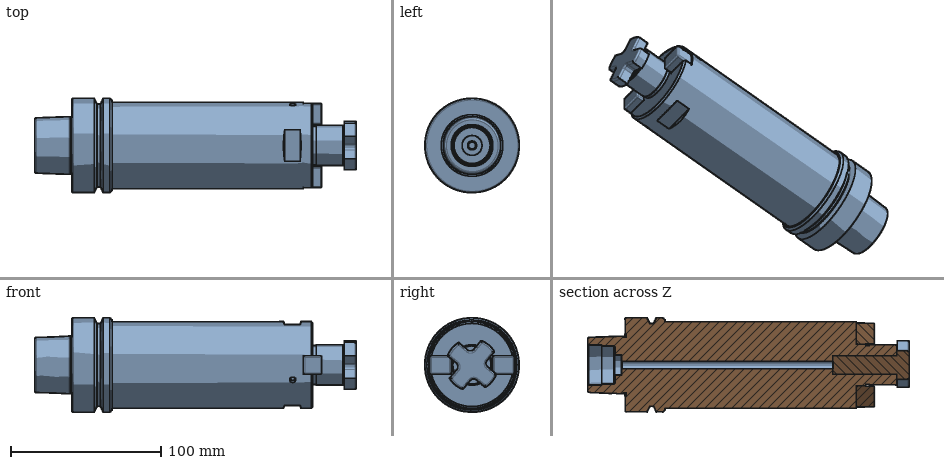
import cadquery as cq
import math

LENGTH = 214.0
MATCH_TOLERANCE = 0.002

NOSE_RADIUS = 18.5
NOSE_FILLET = 1.3
TAPER_RADIUS = 19.3
TAPER_END = 22.7
SHANK_END = 23.8
NECK_RADIUS = 18.6
UNDERCUT_RADIUS = 20.5
UNDERCUT_DEPTH = 0.9

FLANGE_RADIUS = 31.5
FLANGE_START = 24.8
FLANGE_FRONT_FILLET = 1.0
FLANGE_BACK_CHAMFER = 1.5
GROOVE_LEFT = 39.5
GROOVE_RIGHT = 45.5
GROOVE_FLOOR_LEFT = 41.5
GROOVE_FLOOR_RIGHT = 43.9
GROOVE_FLOOR_RADIUS = 27.5
GROOVE_FILLET = 0.5
FLANGE_END = 51.5

BODY_RADIUS = 28.9
BODY_END = 185.1
BODY_CHAMFER = 1.3
PILOT_RADIUS = 13.5
PILOT_RELIEF_RADIUS = 13.0
PILOT_RELIEF_WIDTH = 2.1
PILOT_END = 205.9
PILOT_CHAMFER = 0.9

BORE_RADIUS = 13.3
BORE_CHAMFER = 0.6
BORE_STEP = 9.5
INNER_BORE_RADIUS = 12.6
BORE_DEPTH = 18.2
BORE_FLOOR_RADIUS = 12.0
COUNTERBORE_RADIUS = 6.6
COUNTERBORE_DEPTH = 4.3
COOLANT_RADIUS = 2.4
COOLANT_CHAMFER = 0.6

FLAT_HEIGHT = 27.0
FLAT_LEFT = 166.3
FLAT_RIGHT = 176.5
FLAT_LEFT_SLOPE = 0.9
FLAT_RIGHT_SLOPE = 0.6

KEY_WIDTH = 12.5
KEY_START = 178.7
KEY_END = 190.9
KEY_INNER = 14.0
KEY_OUTER = 28.0
KEY_FILLET = 1.0

SET_SCREW_X = 171.6
SET_SCREW_RADIUS = 2.0
SET_SCREW_LENGTH = 6.5
SET_SCREW_RECESS = 4.5
SET_SCREW_ANGLE = 20.0
SET_SCREW_TURNS = (180.0 + SET_SCREW_ANGLE, SET_SCREW_ANGLE)

HEAD_RADIUS = 17.3
HEAD_FILLET = 1.3
LOBE_WIDTH = 11.5
LOBE_FILLET = 2.8
LOBE_ANGLE = 50.0
SCREW_RADIUS = 6.0
SCREW_LENGTH = 42.8


def revolve_about_x(points):
    """Turn an (X, radius) outline about the X axis."""
    return cq.Workplane("XY").polyline(points).close().revolve(360, (0, 0, 0), (1, 0, 0))


def round_rim(body, x, radius, fillet):
    """Round the circular edge of the given radius that is centred on the X axis at x."""
    rim = [
        edge for edge in body.edges("%CIRCLE").vals()
        if math.isclose(edge.Center().x, x, abs_tol=MATCH_TOLERANCE)
        and math.isclose(edge.radius(), radius, abs_tol=MATCH_TOLERANCE)
    ]
    return body.newObject(rim).fillet(fillet)


def cylinder_along_x(start, end, radius):
    return cq.Workplane("YZ", origin=(start, 0, 0)).circle(radius).extrude(end - start)


def radial_cylinder(turn, inner, outer, radius):
    """Cylinder on a radius at SET_SCREW_X, turned about X from the +Y direction."""
    angle = math.radians(turn)
    outward = cq.Vector(0, math.cos(angle), math.sin(angle))
    base = cq.Vector(SET_SCREW_X, 0, 0) + outward * inner
    return cq.Workplane(cq.Solid.makeCylinder(radius, outer - inner, base, outward))


def turned_outline():
    outline = revolve_about_x([
        (0, 0),
        (0, NOSE_RADIUS),
        (TAPER_END, TAPER_RADIUS),
        (SHANK_END, TAPER_RADIUS),
        (SHANK_END, NECK_RADIUS),
        (FLANGE_START + UNDERCUT_DEPTH, NECK_RADIUS),
        (FLANGE_START + UNDERCUT_DEPTH, UNDERCUT_RADIUS),
        (FLANGE_START, UNDERCUT_RADIUS),
        (FLANGE_START, FLANGE_RADIUS),
        (GROOVE_LEFT, FLANGE_RADIUS),
        (GROOVE_FLOOR_LEFT, GROOVE_FLOOR_RADIUS),
        (GROOVE_FLOOR_RIGHT, GROOVE_FLOOR_RADIUS),
        (GROOVE_RIGHT, FLANGE_RADIUS),
        (FLANGE_END - FLANGE_BACK_CHAMFER, FLANGE_RADIUS),
        (FLANGE_END, FLANGE_RADIUS - FLANGE_BACK_CHAMFER),
        (FLANGE_END, BODY_RADIUS),
        (BODY_END - BODY_CHAMFER, BODY_RADIUS),
        (BODY_END, BODY_RADIUS - BODY_CHAMFER),
        (BODY_END, PILOT_RELIEF_RADIUS),
        (BODY_END + PILOT_RELIEF_WIDTH, PILOT_RELIEF_RADIUS),
        (BODY_END + PILOT_RELIEF_WIDTH, PILOT_RADIUS),
        (PILOT_END - PILOT_CHAMFER, PILOT_RADIUS),
        (PILOT_END, PILOT_RADIUS - PILOT_CHAMFER),
        (PILOT_END, 0),
    ])
    outline = round_rim(outline, 0, NOSE_RADIUS, NOSE_FILLET)
    outline = round_rim(outline, FLANGE_START, FLANGE_RADIUS, FLANGE_FRONT_FILLET)
    for floor_edge in (GROOVE_FLOOR_LEFT, GROOVE_FLOOR_RIGHT):
        outline = round_rim(outline, floor_edge, GROOVE_FLOOR_RADIUS, GROOVE_FILLET)
    return outline


def central_bore():
    """Stepped shank bore, counterbore and coolant passage up to the clamping screw."""
    floor_chamfer = INNER_BORE_RADIUS - BORE_FLOOR_RADIUS
    counterbore_floor = BORE_DEPTH + COUNTERBORE_DEPTH
    screw_tip = PILOT_END - SCREW_LENGTH
    return revolve_about_x([
        (0, 0),
        (0, BORE_RADIUS + BORE_CHAMFER),
        (BORE_CHAMFER, BORE_RADIUS),
        (BORE_STEP, BORE_RADIUS),
        (BORE_STEP, INNER_BORE_RADIUS),
        (BORE_DEPTH - floor_chamfer, INNER_BORE_RADIUS),
        (BORE_DEPTH, BORE_FLOOR_RADIUS),
        (BORE_DEPTH, COUNTERBORE_RADIUS),
        (counterbore_floor, COUNTERBORE_RADIUS),
        (counterbore_floor, COOLANT_RADIUS + COOLANT_CHAMFER),
        (counterbore_floor + COOLANT_CHAMFER, COOLANT_RADIUS),
        (screw_tip, COOLANT_RADIUS),
        (screw_tip, 0),
    ])


def flat_cutter(side):
    """Sloped-ended block that leaves a wrench flat above (side 1) or below (side -1)."""
    rise = BODY_RADIUS - FLAT_HEIGHT
    return (
        cq.Workplane("XZ")
        .polyline([
            (FLAT_LEFT, side * FLAT_HEIGHT),
            (FLAT_RIGHT, side * FLAT_HEIGHT),
            (FLAT_RIGHT + FLAT_RIGHT_SLOPE, side * (FLAT_HEIGHT + rise)),
            (FLAT_LEFT - FLAT_LEFT_SLOPE, side * (FLAT_HEIGHT + rise)),
        ])
        .close()
        .extrude(BODY_RADIUS, both=True)
    )


def block_beside_axis(side, end, outer):
    """Key-wide block on the +Y (side 1) or -Y (side -1) side, from the key's inner corner."""
    return cq.Workplane("XY").box(end - KEY_START, outer - KEY_INNER, KEY_WIDTH).translate(
        ((KEY_START + end) / 2, side * (KEY_INNER + outer) / 2, 0)
    )


def make_housing():
    housing = turned_outline().cut(central_bore())
    housing = housing.cut(cylinder_along_x(PILOT_END - SCREW_LENGTH, PILOT_END, SCREW_RADIUS))
    for side in (-1, 1):
        housing = housing.cut(flat_cutter(side))
        housing = housing.cut(block_beside_axis(side, BODY_END, BODY_RADIUS))
    hole_floor = BODY_RADIUS - SET_SCREW_RECESS - SET_SCREW_LENGTH
    for turn in SET_SCREW_TURNS:
        housing = housing.cut(radial_cylinder(turn, hole_floor, FLANGE_RADIUS, SET_SCREW_RADIUS))
    return housing


def make_drive_key(side):
    return block_beside_axis(side, KEY_END, KEY_OUTER).edges().fillet(KEY_FILLET)


def make_set_screw(turn):
    outer = BODY_RADIUS - SET_SCREW_RECESS
    return radial_cylinder(turn, outer - SET_SCREW_LENGTH, outer, SET_SCREW_RADIUS)


def make_clamping_screw():
    head_length = LENGTH - PILOT_END
    bar = cq.Workplane("XY").box(head_length, 2 * HEAD_RADIUS, LOBE_WIDTH)
    cross = bar.union(bar.rotate((0, 0, 0), (1, 0, 0), 90))
    inner_corners = cq.selectors.BoxSelector(
        (-head_length, -LOBE_WIDTH, -LOBE_WIDTH), (head_length, LOBE_WIDTH, LOBE_WIDTH)
    )
    lobes = (
        cross.edges("|X").edges(inner_corners).fillet(LOBE_FILLET)
        .rotate((0, 0, 0), (1, 0, 0), LOBE_ANGLE)
        .translate((PILOT_END + head_length / 2, 0, 0))
    )
    envelope = cylinder_along_x(PILOT_END, LENGTH, HEAD_RADIUS)
    head = lobes.intersect(envelope).faces(">X").edges().fillet(HEAD_FILLET)
    return head.union(cylinder_along_x(PILOT_END - SCREW_LENGTH, PILOT_END, SCREW_RADIUS))


housing = make_housing()
clamping_screw = make_clamping_screw()
drive_keys = [make_drive_key(side) for side in (-1, 1)]
set_screws = [make_set_screw(turn) for turn in SET_SCREW_TURNS]

result = cq.Compound.makeCompound([
    housing.val(),
    clamping_screw.val(),
    *[key.val() for key in drive_keys],
    *[screw.val() for screw in set_screws],
])